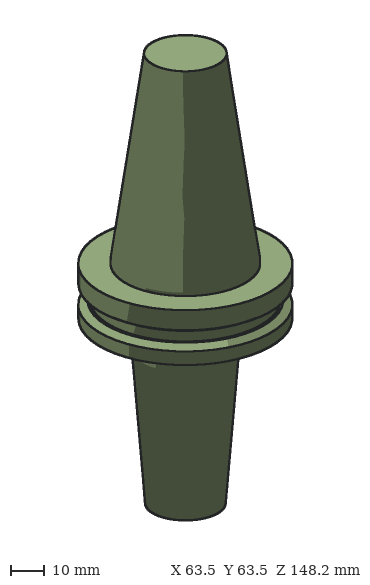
import cadquery as cq
import math


gauge_diameter = 44.45
shank_length = 68.25
shank_taper = 7 / 24
shank_top_diameter = gauge_diameter - shank_taper * shank_length

flange_diameter = 63.5
flange_top_z = -1.0
flange_bottom_z = -19.1

groove_center_z = -11.1
groove_mouth_width = 7.0
groove_floor_diameter = 56.5
groove_floor_width = 3.85
groove_flank_angle = 30.0

nose_diameter = 32.0
nose_tip_diameter = 24.0
nose_tip_z = -80.0
nose_half_angle = 4.5
nose_cone_length = (nose_diameter - nose_tip_diameter) / 2 / math.tan(math.radians(nose_half_angle))
nose_cone_top_z = nose_tip_z + nose_cone_length


def revolve_about_z(profile_points):
    """Turn a closed (radius, Z) outline a full turn about the Z axis."""
    return cq.Workplane("XZ").polyline(profile_points).close().revolve(360, (0, 0, 0), (0, 1, 0))


def make_shank():
    return revolve_about_z([
        (0, flange_top_z),
        (gauge_diameter / 2, flange_top_z),
        (gauge_diameter / 2, 0),
        (shank_top_diameter / 2, shank_length),
        (0, shank_length),
    ])


def make_flange():
    rim_radius = flange_diameter / 2
    floor_radius = groove_floor_diameter / 2
    half_mouth = groove_mouth_width / 2
    half_floor = groove_floor_width / 2
    flank_run = (half_mouth - half_floor) / math.tan(math.radians(groove_flank_angle))
    ledge_radius = rim_radius - flank_run
    return revolve_about_z([
        (0, flange_bottom_z),
        (rim_radius, flange_bottom_z),
        (rim_radius, groove_center_z - half_mouth),
        (ledge_radius, groove_center_z - half_floor),
        (floor_radius, groove_center_z - half_floor),
        (floor_radius, groove_center_z + half_floor),
        (ledge_radius, groove_center_z + half_floor),
        (rim_radius, groove_center_z + half_mouth),
        (rim_radius, flange_top_z),
        (0, flange_top_z),
    ])


def make_nose():
    return revolve_about_z([
        (0, nose_tip_z),
        (nose_tip_diameter / 2, nose_tip_z),
        (nose_diameter / 2, nose_cone_top_z),
        (nose_diameter / 2, flange_bottom_z),
        (0, flange_bottom_z),
    ])


result = make_shank().union(make_flange()).union(make_nose())